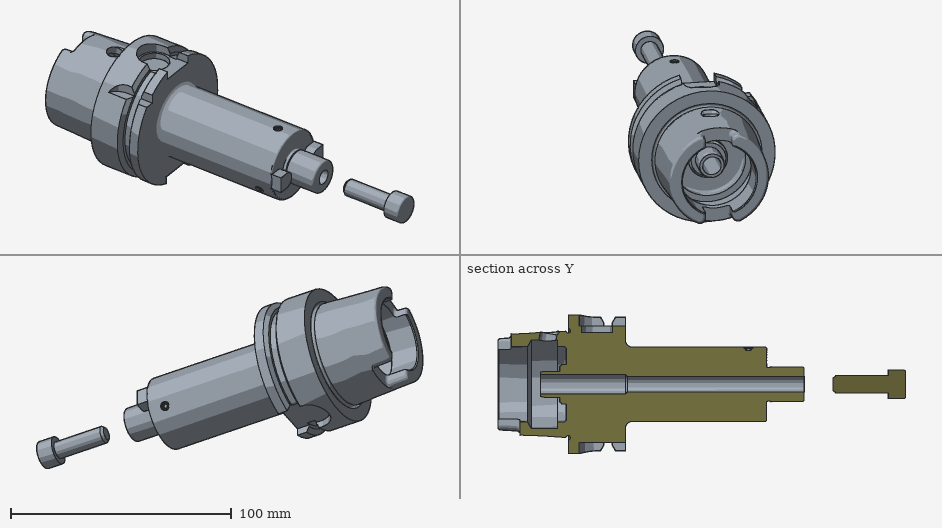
import cadquery as cq
import math


shank_length = 32
gauge_radius = 24
gauge_offset = 6.3
taper_slope = 1 / 20
taper_land = 2.2
shank_end_fillet = 1.3
relief_leg = 1.25
relief_wall = 0.55

bore_radius = 17
bore_chamfer = 0.5
undercut_radius = 20
undercut_start = -18.5
undercut_end = -5
undercut_shoulder_angle = 30
undercut_slope_length = (undercut_radius - bore_radius) * math.tan(math.radians(undercut_shoulder_angle))
bore_floor = -1
bore_floor_fillet = 1.1

nut_radius = 9
nut_height = 3
nut_chamfer = 1
tube_radius = 6
tube_tip_radius = 5.65
tube_end = -12.7
tube_tip_length = 1.7
tube_bore_radius = 4.25

drive_slot_width = 12.5
drive_slot_depth_top = 6
drive_slot_depth_bottom = 10
drive_slot_corner_fillet = 1.4
drive_slot_mouth_fillet = 2.5

edge_margin = 0.1

access_hole_radius = 3.75
access_hole_depth = 10
access_hole_x = -8.8
access_hole_mouth_radius = 4.25
access_hole_sink_angle = 30
access_hole_tilt = 10

flange_radius = 31.5
flange_width = 26
groove_centre = 18
groove_radius = 27.5
groove_wall_radius = 29
groove_floor_width = 3.75
groove_mouth_width = 6.7

key_slot_start = 5
key_slot_floor = 26.5
key_slot_width_top = 16
key_slot_width_bottom = 18
chip_hole_radius = 7
chip_hole_depth = 3
notch_floor = 20
notch_end_radius = 9
notch_end_centre_x = 12.5

arbor_radius = 17
arbor_end = 90
arbor_root_fillet = 3
arbor_end_fillet = 0.8
pilot_radius = 8
pilot_length = 17
pilot_end_fillet = 1
neck_radius = 7.8
neck_length = 2
neck_fillet = 0.4
neck_runout = 0.6
pilot_end = arbor_end + pilot_length
thread_hole_radius = 3.45

key_width = 8
key_height = 5
key_inner_reach = 8.1

grub_count = 3
grub_x = 81.7
grub_radius = 2
grub_face_radius = 1.7
grub_recess = 0.6
grub_socket_mouth_radius = 1.25
grub_hex_across_corners = 2.31
grub_hex_depth = 1

screw_tip = 120
screw_length = 25
screw_radius = 4
screw_tip_radius = 2.9
screw_tip_chamfer = 1.25
head_radius = 6.5
head_height = 8
head_fillet = 0.8


def taper_radius(x):
    return gauge_radius + (x + gauge_offset) * taper_slope


def revolve_about_x(profile):
    return profile.close().revolve(360, (0, 0, 0), (1, 0, 0))


def cylinder_along_x(start, end, radius):
    return cq.Workplane("YZ", origin=(start, 0, 0)).circle(radius).extrude(end - start)


def radius_at_middle(edge):
    middle = edge.positionAt(0.5)
    return math.hypot(middle.y, middle.z)


def is_outside_bore(edge):
    return radius_at_middle(edge) > bore_radius + edge_margin


def is_slot_mouth(edge):
    """Edge along the shank where a drive slot breaks through the taper."""
    outside = radius_at_middle(edge) > taper_radius(-shank_length) - edge_margin
    return outside and edge.tangentAt(0.5).x ** 2 > 0.5


def is_slot_corner(edge):
    """Radial edge between the floor and a wall of a drive slot."""
    on_floor = edge.Center().x > -shank_length + edge_margin
    return on_floor and abs(edge.tangentAt(0.5).z) > 1 - edge_margin


def slot_edges(body):
    """Edges of the shank that lie within the stretch of the drive slots."""
    slot_box = cq.selectors.BoxSelector(
        (-shank_length - edge_margin, -drive_slot_width, -flange_radius),
        (-shank_length + drive_slot_depth_bottom + edge_margin, drive_slot_width, flange_radius),
    )
    return cq.Workplane(obj=body.val()).edges(slot_box)


def shank():
    """Hollow taper with its drive slots and the rounded rim of its end face."""
    land_radius = taper_radius(-taper_land)
    body = revolve_about_x(
        cq.Workplane("XY")
        .moveTo(-shank_length, 0)
        .lineTo(-shank_length, taper_radius(-shank_length))
        .lineTo(-taper_land, land_radius)
        .lineTo(0, land_radius)
        .lineTo(0, 0)
    )
    body = body.cut(cylinder_along_x(-shank_length, undercut_start, bore_radius))
    body = body.cut(drive_slot(1, drive_slot_depth_top))
    body = body.cut(drive_slot(-1, drive_slot_depth_bottom))
    body = slot_edges(body).filter(is_slot_mouth).fillet(drive_slot_mouth_fillet)
    body = slot_edges(body).filter(is_slot_corner).fillet(drive_slot_corner_fillet)
    return body.faces("<X").edges().filter(is_outside_bore).fillet(shank_end_fillet)


def flange():
    half_floor = groove_floor_width / 2
    half_mouth = groove_mouth_width / 2
    return revolve_about_x(
        cq.Workplane("XY")
        .moveTo(0, 0)
        .lineTo(0, flange_radius)
        .lineTo(groove_centre - half_mouth, flange_radius)
        .lineTo(groove_centre - half_floor, groove_wall_radius)
        .lineTo(groove_centre - half_floor, groove_radius)
        .lineTo(groove_centre + half_floor, groove_radius)
        .lineTo(groove_centre + half_floor, groove_wall_radius)
        .lineTo(groove_centre + half_mouth, flange_radius)
        .lineTo(flange_width, flange_radius)
        .lineTo(flange_width, 0)
    )


def face_relief():
    """Round-bottomed groove that runs at 45 degrees into the corner of taper and flange face."""
    land_radius = taper_radius(-taper_land)
    bottom_offset = relief_wall + relief_leg / 2
    return revolve_about_x(
        cq.Workplane("XY")
        .moveTo(-relief_leg, land_radius)
        .lineTo(relief_wall - relief_leg, land_radius - relief_wall)
        .threePointArc(
            (bottom_offset - relief_leg / 2, land_radius + relief_leg / 2 - bottom_offset),
            (relief_wall, land_radius + relief_leg - relief_wall),
        )
        .lineTo(0, land_radius + relief_leg)
    )


def fillet_middle(radius):
    """Distance from the sharp corner lines to the middle of a quarter-round fillet."""
    return radius * (1 - math.sqrt(0.5))


def arbor_and_pilot():
    root_middle = fillet_middle(arbor_root_fillet)
    end_middle = fillet_middle(arbor_end_fillet)
    neck_middle = fillet_middle(neck_fillet)
    pilot_middle = fillet_middle(pilot_end_fillet)
    neck_end = arbor_end + neck_length
    return revolve_about_x(
        cq.Workplane("XY")
        .moveTo(flange_width, 0)
        .lineTo(flange_width, arbor_radius + arbor_root_fillet)
        .threePointArc(
            (flange_width + root_middle, arbor_radius + root_middle),
            (flange_width + arbor_root_fillet, arbor_radius),
        )
        .lineTo(arbor_end - arbor_end_fillet, arbor_radius)
        .threePointArc(
            (arbor_end - end_middle, arbor_radius - end_middle),
            (arbor_end, arbor_radius - arbor_end_fillet),
        )
        .lineTo(arbor_end, neck_radius + neck_fillet)
        .threePointArc(
            (arbor_end + neck_middle, neck_radius + neck_middle),
            (arbor_end + neck_fillet, neck_radius),
        )
        .lineTo(neck_end - neck_runout, neck_radius)
        .lineTo(neck_end, pilot_radius)
        .lineTo(pilot_end - pilot_end_fillet, pilot_radius)
        .threePointArc(
            (pilot_end - pilot_middle, pilot_radius - pilot_middle),
            (pilot_end, pilot_radius - pilot_end_fillet),
        )
        .lineTo(pilot_end, 0)
    )


def bore():
    middle = fillet_middle(bore_floor_fillet)
    return revolve_about_x(
        cq.Workplane("XY")
        .moveTo(-shank_length, 0)
        .lineTo(-shank_length, bore_radius + bore_chamfer)
        .lineTo(-shank_length + bore_chamfer, bore_radius)
        .lineTo(undercut_start, bore_radius)
        .lineTo(undercut_start + undercut_slope_length, undercut_radius)
        .lineTo(undercut_end, undercut_radius)
        .lineTo(undercut_end, bore_radius)
        .lineTo(bore_floor - bore_floor_fillet, bore_radius)
        .threePointArc(
            (bore_floor - middle, bore_radius - middle),
            (bore_floor, bore_radius - bore_floor_fillet),
        )
        .lineTo(bore_floor, 0)
    )


def coolant_tube():
    nut_face = bore_floor - nut_height
    return revolve_about_x(
        cq.Workplane("XY")
        .moveTo(bore_floor, 0)
        .lineTo(bore_floor, nut_radius)
        .lineTo(nut_face + nut_chamfer, nut_radius)
        .lineTo(nut_face, nut_radius - nut_chamfer)
        .lineTo(nut_face, tube_radius)
        .lineTo(tube_end + tube_tip_length, tube_radius)
        .lineTo(tube_end, tube_tip_radius)
        .lineTo(tube_end, 0)
    )


def centre_hole():
    """Bore of the coolant tube, narrowing to the thread of the clamping screw."""
    thread_mouth = flange_width
    return revolve_about_x(
        cq.Workplane("XY")
        .moveTo(tube_end, 0)
        .lineTo(tube_end, tube_bore_radius)
        .lineTo(thread_mouth, tube_bore_radius)
        .lineTo(thread_mouth + tube_bore_radius - thread_hole_radius, thread_hole_radius)
        .lineTo(pilot_end, thread_hole_radius)
        .lineTo(pilot_end, 0)
    )


def drive_slot(side, depth):
    """Slot in the end of the shank, through its +Z (side = 1) or -Z (side = -1) wall."""
    return (
        cq.Workplane("XY", origin=(-shank_length, 0, 0))
        .rect(2 * depth, drive_slot_width)
        .extrude(side * flange_radius)
    )


def access_hole():
    """Countersunk hole through the +Z wall of the shank, leaning in the XZ plane."""
    sink_width = access_hole_mouth_radius - access_hole_radius
    sink_depth = sink_width / math.tan(math.radians(access_hole_sink_angle))
    return (
        cq.Workplane("XZ")
        .moveTo(0, -access_hole_depth)
        .lineTo(access_hole_radius, -access_hole_depth)
        .lineTo(access_hole_radius, -sink_depth)
        .lineTo(access_hole_mouth_radius + sink_width, sink_depth)
        .lineTo(0, sink_depth)
        .close()
        .revolve(360, (0, 0, 0), (0, 1, 0))
        .rotate((0, 0, 0), (0, 1, 0), access_hole_tilt)
        .translate((access_hole_x, 0, taper_radius(access_hole_x)))
    )


def key_slot(width):
    """Round-ended slot in the +Z side of the flange, open towards +X."""
    radius = width / 2
    centre_x = key_slot_start + radius
    return (
        cq.Workplane("XY", origin=(0, 0, key_slot_floor))
        .moveTo(flange_width, -radius)
        .lineTo(centre_x, -radius)
        .threePointArc((key_slot_start, 0), (centre_x, radius))
        .lineTo(flange_width, radius)
        .close()
        .extrude(flange_radius)
    )


def chip_hole():
    centre_x = key_slot_start + key_slot_width_top / 2
    return (
        cq.Workplane("XY", origin=(centre_x, 0, key_slot_floor - chip_hole_depth))
        .circle(chip_hole_radius)
        .extrude(flange_radius)
    )


def orientation_notch():
    """Square notch at the (-Y, +Z) corner of the flange, with a milled round end."""
    outer_y = -notch_floor - notch_end_radius
    return (
        cq.Workplane("XY", origin=(0, 0, notch_floor))
        .moveTo(flange_width, -notch_floor)
        .lineTo(notch_end_centre_x, -notch_floor)
        .threePointArc(
            (
                notch_end_centre_x - notch_end_radius * math.sqrt(0.5),
                outer_y + notch_end_radius * math.sqrt(0.5),
            ),
            (notch_end_centre_x - notch_end_radius, outer_y),
        )
        .lineTo(flange_width, outer_y)
        .close()
        .extrude(flange_radius)
    )


def driving_key():
    half_width = key_width / 2
    round_centre = key_inner_reach + half_width
    outer_reach = math.sqrt(arbor_radius**2 - half_width**2)
    return (
        cq.Workplane("YZ", origin=(arbor_end - arbor_end_fillet, 0, 0))
        .moveTo(outer_reach, -half_width)
        .lineTo(round_centre, -half_width)
        .threePointArc((key_inner_reach, 0), (round_centre, half_width))
        .lineTo(outer_reach, half_width)
        .close()
        .extrude(key_height + arbor_end_fillet)
    )


def grub_screw_recess():
    """Hole above a grub screw set into the +Z side of the arbor, with its hexagon socket."""
    screw_face = arbor_radius - grub_recess
    edge_drop = grub_radius - grub_face_radius
    hex_radius = grub_hex_across_corners / 2
    hole = (
        cq.Workplane("XZ")
        .moveTo(0, arbor_radius + grub_recess)
        .lineTo(grub_radius, arbor_radius + grub_recess)
        .lineTo(grub_radius, screw_face - edge_drop)
        .lineTo(grub_face_radius, screw_face)
        .lineTo(grub_socket_mouth_radius, screw_face)
        .lineTo(hex_radius, screw_face - grub_socket_mouth_radius + hex_radius)
        .lineTo(0, screw_face - grub_socket_mouth_radius + hex_radius)
        .close()
        .revolve(360, (0, 0, 0), (0, 1, 0))
        .translate((grub_x, 0, 0))
    )
    socket = (
        cq.Workplane("XY", origin=(grub_x, 0, screw_face - grub_hex_depth))
        .polygon(6, grub_hex_across_corners)
        .extrude(grub_hex_depth)
    )
    return hole.union(socket)


def make_holder():
    body = shank().union(flange()).union(arbor_and_pilot())
    body = body.cut(bore()).cut(face_relief())
    body = body.cut(access_hole())
    body = body.union(coolant_tube()).cut(centre_hole())
    body = body.cut(key_slot(key_slot_width_top)).cut(chip_hole())
    body = body.cut(key_slot(key_slot_width_bottom).rotate((0, 0, 0), (1, 0, 0), 180))
    body = body.cut(orientation_notch())
    key = driving_key()
    body = body.union(key).union(key.rotate((0, 0, 0), (1, 0, 0), 180))
    for i in range(grub_count):
        angle = i * 360 / grub_count
        body = body.cut(grub_screw_recess().rotate((0, 0, 0), (1, 0, 0), angle))
    return body


def make_clamping_screw():
    head_start = screw_tip + screw_length
    head_end = head_start + head_height
    head_middle = fillet_middle(head_fillet)
    return revolve_about_x(
        cq.Workplane("XY")
        .moveTo(screw_tip, 0)
        .lineTo(screw_tip, screw_tip_radius)
        .lineTo(screw_tip + screw_tip_chamfer, screw_radius)
        .lineTo(head_start, screw_radius)
        .lineTo(head_start, head_radius)
        .lineTo(head_end - head_fillet, head_radius)
        .threePointArc(
            (head_end - head_middle, head_radius - head_middle),
            (head_end, head_radius - head_fillet),
        )
        .lineTo(head_end, 0)
    )


holder = make_holder()
clamping_screw = make_clamping_screw()

result = cq.Compound.makeCompound([holder.val(), clamping_screw.val()])